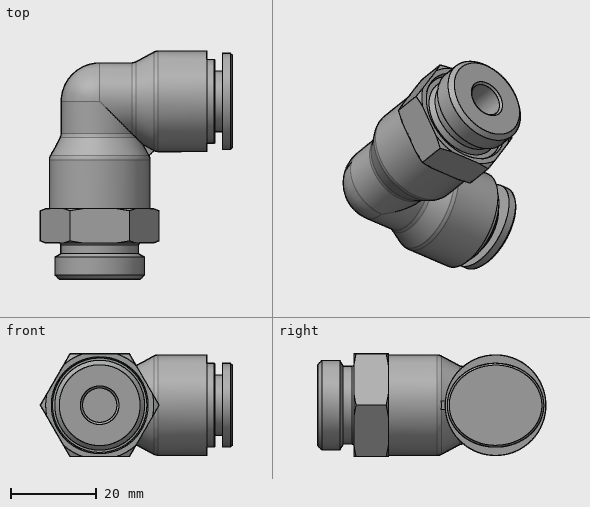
import cadquery as cq
import math


neck_radius = 18.0 / 2
socket_radius = 23.5 / 2
taper_start = 8.0
taper_end = 13.1
arm_length = 25.0
taper_blend_radius = 2.0
web_thickness = 2.0
web_reach = 24.15

hex_across_flats = 24.0
hex_corner_radius = hex_across_flats / math.sqrt(3)
hex_depth = 33.0
hex_bevel_radius = 12.6
hex_bevel_height = 0.5
fitting_depth = 41.5
thread_radius = 20.95 / 2
thread_start = 36.3
thread_chamfer = 1.05
thread_back_angle = 30.0
undercut_radius = 18.2 / 2
bore_radius = 8.0 / 2
bore_chamfer = 0.5

seat_outer_radius = 11.3
seat_recess = 1.0
seat_wall_inset = 0.3
seat_flare_start = 33.45
seat_flare_angle = 25.0

collar_radius = 19.6 / 2
collar_end = 26.9
collar_chamfer = 0.2

sleeve_radius = 14.2 / 2
flange_start = 28.6
flange_end = 30.9
flange_half_width_y = 22.5 / 2
flange_half_width_z = 19.6 / 2
flange_chamfer = 0.45


def turned_along_x(profile):
    """Revolve (distance along X, radius) points about the X axis."""
    return cq.Workplane("XY").polyline(profile).close().revolve(360, (0, 0, 0), (1, 0, 0))


def turned_along_minus_y(profile):
    """Revolve (depth along -Y, radius) points about the Y axis."""
    points = [(radius, -depth) for depth, radius in profile]
    return cq.Workplane("XY").polyline(points).close().revolve(360, (0, 0, 0), (0, 1, 0))


def elbow_arm():
    """One arm along +X: thin neck, blended taper and wide socket."""
    arm = turned_along_x([
        (0, 0),
        (0, neck_radius),
        (taper_start, neck_radius),
        (taper_end, socket_radius),
        (arm_length, socket_radius),
        (arm_length, 0),
    ])
    taper_box = cq.selectors.BoxSelector(
        (taper_start / 2, -arm_length, -arm_length),
        (taper_end + taper_start / 2, arm_length, arm_length),
    )
    taper_rims = arm.edges("%CIRCLE").edges(taper_box)
    return taper_rims.fillet(taper_blend_radius)


def elbow_web():
    """Thin web that fills the inner corner between the two tapers."""
    return (
        cq.Workplane("XY")
        .polyline([
            (0, 0),
            (taper_end, 0),
            (taper_end, taper_end - web_reach),
            (web_reach - taper_end, -taper_end),
            (0, -taper_end),
        ])
        .close()
        .extrude(web_thickness / 2, both=True)
    )


def make_elbow():
    tube_arm = elbow_arm()
    thread_arm = elbow_arm().rotate((0, 0, 0), (0, 0, 1), -90)
    outer_corner = cq.Workplane("XY").sphere(neck_radius)
    return tube_arm.union(thread_arm).union(outer_corner).union(elbow_web())


def hex_nut():
    """Hexagon with corners on the X axis and bevelled at both ends."""
    hexagon = (
        cq.Workplane("XZ", origin=(0, -arm_length, 0))
        .polygon(6, 2 * hex_corner_radius)
        .extrude(hex_depth - arm_length)
    )
    bevel_envelope = turned_along_minus_y([
        (arm_length, 0),
        (arm_length, hex_bevel_radius),
        (arm_length + hex_bevel_height, hex_corner_radius),
        (hex_depth - hex_bevel_height, hex_corner_radius),
        (hex_depth, hex_bevel_radius),
        (hex_depth, 0),
    ])
    return hexagon.intersect(bevel_envelope)


def seal_seat():
    """Recess with a steep, slightly tapered outer wall, cut from the outer hex face."""
    floor_depth = hex_depth - seat_recess
    return turned_along_minus_y([
        (floor_depth, 0),
        (floor_depth, seat_outer_radius - seat_wall_inset),
        (hex_depth, seat_outer_radius),
        (hex_depth, 0),
    ])


def threaded_stub():
    """Undercut with a flared root, and plain thread body, below the hexagon."""
    floor_depth = hex_depth - seat_recess
    flare_length = seat_flare_start - floor_depth
    flare_radius = undercut_radius + flare_length * math.tan(math.radians(seat_flare_angle))
    thread_height = thread_radius - undercut_radius
    back_length = thread_height * math.tan(math.radians(thread_back_angle))
    return turned_along_minus_y([
        (floor_depth, 0),
        (floor_depth, flare_radius),
        (seat_flare_start, undercut_radius),
        (thread_start - back_length, undercut_radius),
        (thread_start, thread_radius),
        (fitting_depth - thread_chamfer, thread_radius),
        (fitting_depth, thread_radius - thread_chamfer),
        (fitting_depth, 0),
    ])


def fitting_bore():
    """Through bore with a chamfered mouth."""
    return turned_along_minus_y([
        (arm_length, 0),
        (arm_length, bore_radius),
        (fitting_depth - bore_chamfer, bore_radius),
        (fitting_depth, bore_radius + bore_chamfer),
        (fitting_depth, 0),
    ])


def make_threaded_fitting():
    return hex_nut().cut(seal_seat()).union(threaded_stub()).cut(fitting_bore())


def make_collar():
    """Ring against the socket mouth; the release sleeve fills its hole."""
    return turned_along_x([
        (arm_length, sleeve_radius),
        (arm_length, collar_radius),
        (collar_end - collar_chamfer, collar_radius),
        (collar_end, collar_radius - collar_chamfer),
        (collar_end, sleeve_radius),
    ])


def make_release_sleeve():
    """Round sleeve with an oval flange chamfered on its outer rim."""
    sleeve = (
        cq.Workplane("YZ", origin=(arm_length, 0, 0))
        .circle(sleeve_radius)
        .extrude(flange_start - arm_length)
    )
    flange = (
        cq.Workplane("YZ", origin=(flange_start, 0, 0))
        .ellipse(flange_half_width_y, flange_half_width_z)
        .extrude(flange_end - flange_start)
        .faces(">X")
        .chamfer(flange_chamfer)
    )
    return sleeve.union(flange)


elbow = make_elbow()
threaded_fitting = make_threaded_fitting()
collar = make_collar()
release_sleeve = make_release_sleeve()

result = cq.Compound.makeCompound([
    elbow.val(),
    threaded_fitting.val(),
    collar.val(),
    release_sleeve.val(),
])